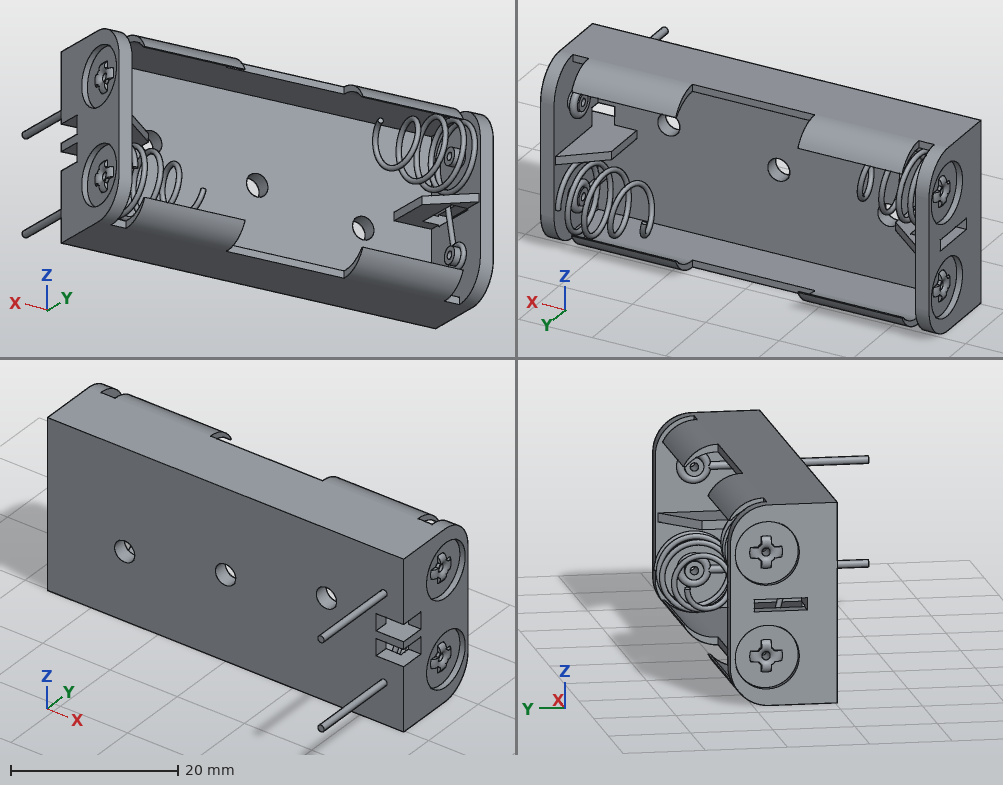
import cadquery as cq
import math


length = 52.98
width = 24.59
height = 13.0
half_length = length / 2
half_width = width / 2
side_height = 8.28
corner_radius = height - side_height
cell_offset = 6.35
axis_height = 8.52
cavity_radius = 5.0
cavity_floor = 2.0
opening_edge = 9.69
end_wall = 1.86
inner_end = half_length - end_wall
chamber_length = 2.1
clip_end = inner_end - chamber_length
contact_slot_length = 4.1
contact_slot_end = half_length - contact_slot_length
notch_height = 3.5
clip_start = 8.33
rib_thickness = 1.1
rib_top = 12.7
rib_slope = 40

screw_hole_diameter = 3.0
screw_hole_places = [(-15, -2.4), (0, 0), (15, 2.4)]
floor_slot_reach = 3.0
link_slot_width = 1.5
link_slot_low = 3.65
link_slot_high = 10.1

recess_diameter = 7.8
recess_depth = 0.8
rivet_bore_radius = 0.5
barrel_radius = 1.15
petal_reach = 2.0
petal_height = 0.45
petal_width_y = 1.3
petal_width_z = 1.2
petal_root_radius = 1.2

pin_diameter = 0.95
pin_length = 12.7
eye_gap = 0.6
pin_x = inner_end - eye_gap - pin_diameter / 2
eye_radius = barrel_radius + pin_diameter / 2

spring_wire = 0.66
overall_depth = 25.92
spring_top = overall_depth - pin_length
coil_radius = spring_top - axis_height - spring_wire / 2
straight_turns = 2
total_turns = 4
taper_per_turn = 0.9
first_coil_gap = 0.47
pitch_start = 0.9
pitch_growth = 0.45
points_per_turn = 12
right_spring_start = 90
link_spring_start = 0
link_flat_turns = 0.4
link_eye_radius = barrel_radius + spring_wire / 2
link_eye_angle = -30

sides = (-1, 1)


def block(x_range, y_range, z_range):
    """Box given by its limits along each axis."""
    size = [high - low for low, high in (x_range, y_range, z_range)]
    corner = cq.Vector(x_range[0], y_range[0], z_range[0])
    return cq.Workplane(cq.Solid.makeBox(*size, pnt=corner))


def rod(start, direction, diameter, rod_length):
    """Round bar from a start point along a direction."""
    return cq.Workplane(cq.Solid.makeCylinder(
        diameter / 2, rod_length, cq.Vector(*start), cq.Vector(*direction)))


def ring(centre, ring_radius, wire):
    """Round-wire ring in a plane square to X."""
    return cq.Workplane(cq.Solid.makeTorus(
        ring_radius, wire / 2, cq.Vector(*centre), cq.Vector(1, 0, 0)))


def end_rib(end):
    """Rib between the cells at one end, its top sloping down away from the wall."""
    run = (rib_top - side_height) / math.tan(math.radians(rib_slope))
    corners = [
        (end * inner_end, cavity_floor),
        (end * inner_end, rib_top),
        (end * (inner_end - run), side_height),
        (end * (inner_end - run), cavity_floor),
    ]
    return (cq.Workplane("XY").polyline(corners).close()
            .extrude(rib_thickness / 2, both=True))


def make_housing():
    body = block((-half_length, half_length), (0, height), (-half_width, half_width))
    body = body.edges("|X and >Y").fillet(corner_radius)

    trough_side = cell_offset + cavity_radius
    body = body.cut(block((-inner_end, inner_end), (cavity_floor, axis_height),
                          (-trough_side, trough_side)))
    for side in sides:
        body = body.cut(rod((-inner_end, axis_height, side * cell_offset), (1, 0, 0),
                            2 * cavity_radius, 2 * inner_end))

    body = body.cut(block((-inner_end, inner_end), (side_height, height),
                          (-opening_edge, opening_edge)))
    body = body.cut(block((-clip_start, clip_start), (side_height, height),
                          (-half_width, half_width)))

    for end in sides:
        chamber_x = sorted((end * clip_end, end * inner_end))
        body = body.cut(block(chamber_x, (side_height, height), (-half_width, half_width)))
        body = body.union(end_rib(end))

    for end in sides:
        for side in sides:
            axis = (end * half_length, axis_height, side * cell_offset)
            inward = (-end, 0, 0)
            body = body.cut(rod(axis, inward, recess_diameter, recess_depth))
            body = body.cut(rod(axis, inward, 2 * barrel_radius, end_wall))

    for x, z in screw_hole_places:
        body = body.cut(rod((x, 0, z), (0, 1, 0), screw_hole_diameter, cavity_floor))

    for side in sides:
        slot_z = sorted((side * rib_thickness / 2, side * floor_slot_reach))
        body = body.cut(block((contact_slot_end, half_length), (0, notch_height), slot_z))
        body = body.cut(rod((pin_x, 0, side * cell_offset), (0, 1, 0),
                            pin_diameter, axis_height))

    return body.cut(block((-half_length, -contact_slot_end), (link_slot_low, link_slot_high),
                          (-link_slot_width / 2, link_slot_width / 2)))


def make_rivet(end, side):
    """Hollow rivet whose outer end is split into four curled petals."""
    recess_floor = half_length - recess_depth
    barrel_end = pin_x - pin_diameter / 2
    shank = (
        cq.Workplane("YZ", origin=(barrel_end, 0, 0))
        .circle(barrel_radius)
        .circle(rivet_bore_radius)
        .extrude(recess_floor - barrel_end)
    )
    curl = (
        cq.Workplane("XY")
        .moveTo(recess_floor, rivet_bore_radius)
        .threePointArc((recess_floor + petal_height, (rivet_bore_radius + petal_reach) / 2),
                       (recess_floor, petal_reach))
        .close()
        .revolve(360, (0, 0, 0), (1, 0, 0))
    )
    cross_plane = cq.Workplane("YZ", origin=(recess_floor, 0, 0))
    cross = (
        cross_plane.rect(2 * petal_reach, petal_width_y).extrude(petal_height)
        .union(cross_plane.rect(petal_width_z, 2 * petal_reach).extrude(petal_height))
        .union(cross_plane.circle(petal_root_radius).extrude(petal_height))
    )
    rivet = shank.union(curl.intersect(cross))
    if end < 0:
        rivet = rivet.mirror("YZ")
    return rivet.translate((0, axis_height, side * cell_offset))


def make_pin(side):
    """Solder pin that ends in an eye around the rivet barrel."""
    z = side * cell_offset
    eye = ring((pin_x, axis_height, z), eye_radius, pin_diameter)
    stem_length = pin_length + axis_height - eye_radius
    return eye.union(rod((pin_x, -pin_length, z), (0, 1, 0), pin_diameter, stem_length))


def coil_point(end, side, start_angle, turns):
    """Point on the spring centre line after a number of turns.

    Turns below zero lie flat along the end wall.
    """
    angle = math.radians(start_angle) + 2 * math.pi * turns
    open_turns = max(0, turns)
    depth = first_coil_gap + pitch_start * open_turns + pitch_growth * open_turns ** 2
    radius = coil_radius - taper_per_turn * max(0, turns - straight_turns)
    return cq.Vector(
        end * (inner_end - depth),
        axis_height + radius * math.sin(angle),
        side * (cell_offset + radius * math.cos(angle)),
    )


def make_spring(end, side, start_angle, flat_turns):
    """Coil spring whose last turns taper toward the axis."""
    steps = points_per_turn * total_turns
    step_turns = (total_turns + flat_turns) / steps
    points = [coil_point(end, side, start_angle, step * step_turns - flat_turns)
              for step in range(steps + 1)]
    path = cq.Workplane(cq.Edge.makeSpline(points))
    start_plane = cq.Plane(origin=points[0], normal=path.val().tangentAt(0))
    return cq.Workplane(start_plane).circle(spring_wire / 2).sweep(path, isFrenet=True)


def make_link_spring():
    """Spring in the +Z cell at the -X end, wired to an eye in the -Z cell."""
    coil = make_spring(-1, 1, link_spring_start, link_flat_turns)
    coil_start = coil_point(-1, 1, link_spring_start, -link_flat_turns)
    eye_centre = cq.Vector(coil_start.x, axis_height, -cell_offset)
    eye = ring(eye_centre.toTuple(), link_eye_radius, spring_wire)

    leave_angle = math.radians(link_eye_angle)
    leave_direction = cq.Vector(0, math.sin(leave_angle), math.cos(leave_angle))
    link_start = eye_centre + leave_direction * link_eye_radius
    link = coil_start - link_start
    wire = rod(link_start.toTuple(), link.toTuple(), spring_wire, link.Length)
    elbow = cq.Workplane("XY").sphere(spring_wire / 2).translate(coil_start)
    return coil.union(elbow).union(wire).union(eye)


housing = make_housing()
rivets = [make_rivet(end, side) for end in sides for side in sides]
pins = [make_pin(side) for side in sides]
right_spring = make_spring(1, -1, right_spring_start, 0)
link_spring = make_link_spring()

pins[0] = pins[0].cut(right_spring)

bodies = [housing, *rivets, *pins, right_spring, link_spring]
result = cq.Compound.makeCompound([solid for body in bodies for solid in body.solids().vals()])